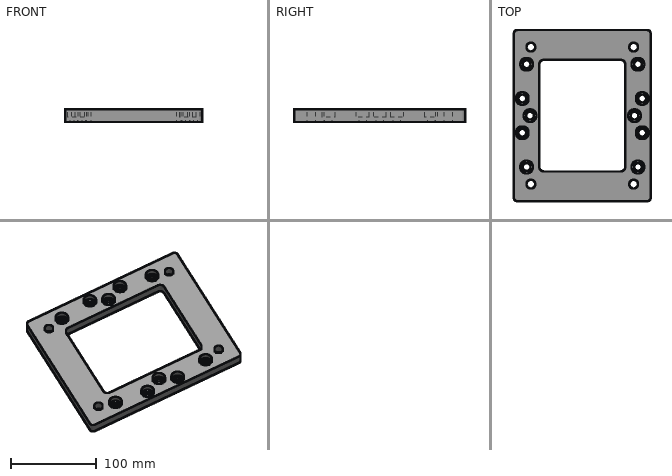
import cadquery as cq

width = 160.0
length = 200.0
thickness = 15.0
corner_radius = 4.0

window_width = 100.0
window_length = 130.0
window_corner_radius = 5.0

corner_hole_diameter = 10.0
corner_hole_inset = 20.0

bolt_diameter = 9.0
counterbore_diameter = 15.0
counterbore_depth = 9.0
outer_bolt_x = 65.0
outer_bolt_y = 60.0
inner_bolt_x = 70.0
inner_bolt_y = 20.0
middle_bolt_x = 61.0


def mirrored_points(x, y):
    """Return the point and its mirror images in both centre lines."""
    return [(side_x * x, side_y * y) for side_x in (-1, 1) for side_y in (-1, 1)]


def rounded_block(size_x, size_y, radius):
    """Block of plate thickness, resting on Z = 0, with rounded vertical edges."""
    block = cq.Workplane("XY").box(size_x, size_y, thickness, centered=(True, True, False))
    return block.edges("|Z").fillet(radius)


plate = rounded_block(width, length, corner_radius)
window = rounded_block(window_width, window_length, window_corner_radius)
frame = plate.cut(window)

corner_holes = mirrored_points(width / 2 - corner_hole_inset, length / 2 - corner_hole_inset)
bolt_holes = (
    mirrored_points(outer_bolt_x, outer_bolt_y)
    + mirrored_points(inner_bolt_x, inner_bolt_y)
    + [(-middle_bolt_x, 0), (middle_bolt_x, 0)]
)

top_plane = cq.Workplane("XY", origin=(0, 0, thickness))
frame = frame.copyWorkplane(top_plane).pushPoints(corner_holes).hole(corner_hole_diameter)
result = (
    frame.copyWorkplane(top_plane)
    .pushPoints(bolt_holes)
    .cboreHole(bolt_diameter, counterbore_diameter, counterbore_depth)
)